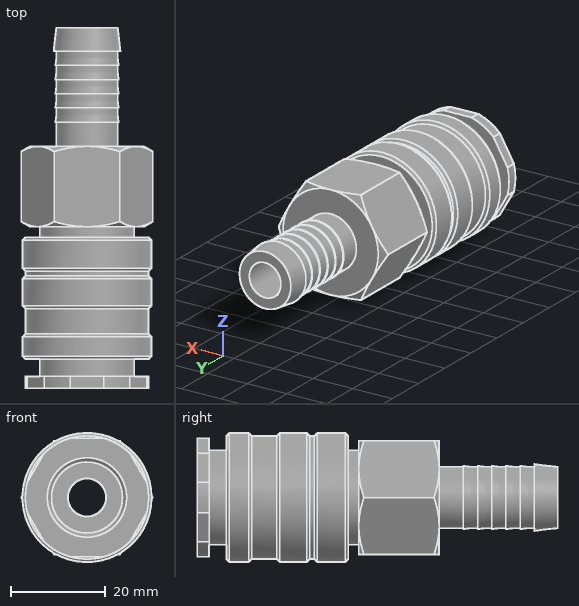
import cadquery as cq
import math

total_length = 76.0

collar_diameter = 26.0
collar_flats = 25.0
collar_length = 2.5

neck_diameter = 20.0
sleeve_diameter = 27.3
groove_diameter = collar_diameter
sleeve_start = 6.15
sleeve_end = 31.85
wide_groove = (11.5, 16.8)
narrow_groove = (23.7, 24.7)
sleeve_chamfer = (sleeve_diameter - groove_diameter) / 2

nut_flats = 24.0
nut_start = 34.05
nut_end = 51.0
nut_chamfer_angle = 30.0

tail_diameter = 13.0
barb_diameter = 13.4
tip_diameter = 14.1
tip_length = 4.95
barb_count = 5
barbed_length = 15.0
barb_pitch = barbed_length / barb_count
barb_length = barb_pitch / 2

passage_diameter = 8.0
socket_diameter = 15.0
socket_mouth_diameter = 16.7
socket_depth = 22.8


def cylinder(diameter, start, end):
    """Cylinder along the Y axis between two Y positions."""
    return cq.Workplane("XZ", origin=(0, start, 0)).circle(diameter / 2).extrude(start - end)


def cone(start_diameter, end_diameter, start, end):
    """Frustum along the Y axis between two Y positions."""
    outline = [(0, start), (start_diameter / 2, start), (end_diameter / 2, end), (0, end)]
    return cq.Workplane("XY").polyline(outline).close().revolve(360, (0, 0), (0, 1))


def across_corners(flats):
    """Corner-to-corner width of a hexagon with the given width across flats."""
    return 2 * flats / math.sqrt(3)


def hexagon(flats, start, end):
    """Hexagonal bar along Y with two corners on the X axis."""
    return cq.Workplane("XZ", origin=(0, start, 0)).polygon(6, across_corners(flats)).extrude(start - end)


def make_collar():
    return cylinder(collar_diameter, 0, collar_length).intersect(hexagon(collar_flats, 0, collar_length))


def make_sleeve():
    """Three chamfered bands standing on a cylinder of the groove diameter."""
    sleeve = cylinder(groove_diameter, sleeve_start, sleeve_end)
    band_starts = [sleeve_start, wide_groove[1], narrow_groove[1]]
    band_ends = [wide_groove[0], narrow_groove[0], sleeve_end]
    for start, end in zip(band_starts, band_ends):
        band = cylinder(sleeve_diameter, start, end).edges("%CIRCLE").chamfer(sleeve_chamfer)
        sleeve = sleeve.union(band)
    return sleeve


def make_nut():
    """Hexagon with its corners turned off conically at both ends."""
    corner_diameter = across_corners(nut_flats)
    chamfer_width = (corner_diameter - nut_flats) / 2
    chamfer_height = chamfer_width * math.tan(math.radians(nut_chamfer_angle))
    blank = cylinder(corner_diameter, nut_start, nut_end)
    blank = blank.faces("<Y").chamfer(chamfer_height, chamfer_width)
    blank = blank.faces(">Y").chamfer(chamfer_height, chamfer_width)
    return hexagon(nut_flats, nut_start, nut_end).intersect(blank)


def make_tail():
    tip_start = total_length - tip_length
    tail = cylinder(tail_diameter, nut_end, tip_start)
    tail = tail.union(cone(tip_diameter, tail_diameter, tip_start, total_length))
    for index in range(1, barb_count + 1):
        start = tip_start - index * barb_pitch
        tail = tail.union(cone(barb_diameter, tail_diameter, start, start + barb_length))
    return tail


def make_bores():
    mouth_chamfer = (socket_mouth_diameter - socket_diameter) / 2
    passage = cylinder(passage_diameter, 0, total_length)
    socket = cylinder(socket_diameter, 0, socket_depth)
    mouth = cone(socket_mouth_diameter, socket_diameter, 0, mouth_chamfer)
    return passage.union(socket).union(mouth)


body = cylinder(neck_diameter, 0, nut_start)
for feature in (make_collar(), make_sleeve(), make_nut(), make_tail()):
    body = body.union(feature)
result = body.cut(make_bores())